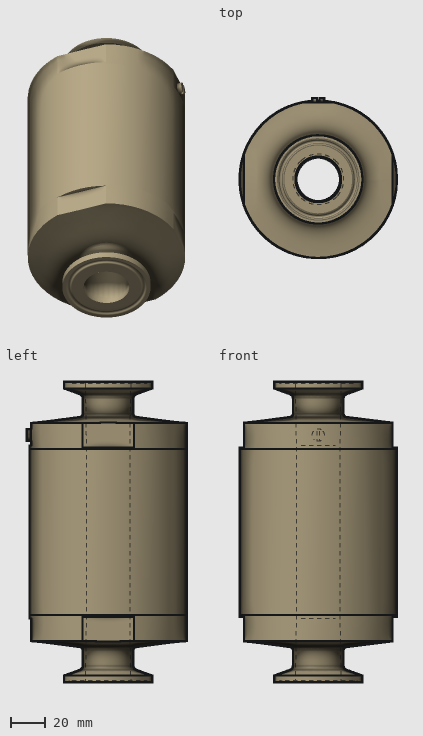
import cadquery as cq
import math

total_length = 171.9
body_diameter = 90.0
bore_diameter = 25.0
bore_mouth_diameter = 26.1
sleeve_length = 94.9

cap_rim_height = 15.0
cap_cone_slope = math.radians(7.2)
cap_shoulder_width = 3.8
neck_diameter = 29.0
neck_base_fillet = 1.5
flange_diameter = 50.5
flange_rim_thickness = 3.8
flange_slope = math.radians(20)
flange_fillet = 2.4

groove_diameter = 43.0
groove_bottom_radius = 1.0
groove_lip_radius = 1.0
groove_wall_angle = math.radians(60)

flats_across = 85.1
flat_ledge = 1.0
mounting_flat_y = 44.0
mounting_flat_ledge = 2.0

stud_diameter = 7.0
stud_tip_y = 46.5
stud_z = 55.5
slot_width = 1.4
slot_depth = 1.4

body_radius = body_diameter / 2
bore_radius = bore_diameter / 2
bore_mouth_radius = bore_mouth_diameter / 2
neck_radius = neck_diameter / 2
flange_radius = flange_diameter / 2
end_z = total_length / 2
seam_z = sleeve_length / 2
rim_top_z = seam_z + cap_rim_height
flange_edge_z = end_z - flange_rim_thickness
flange_root_z = flange_edge_z - (flange_radius - neck_radius) * math.tan(flange_slope)


def make_sleeve():
    return (
        cq.Workplane("XY")
        .workplane(offset=-seam_z)
        .circle(body_radius)
        .circle(bore_radius)
        .extrude(sleeve_length)
    )


def make_cap_blank():
    """Turned cap with tapered bore and neck fillets, before the groove and flats are cut."""
    shoulder_rise = cap_shoulder_width * math.tan(cap_cone_slope / 2)
    shoulder_end = (body_radius - cap_shoulder_width, rim_top_z + shoulder_rise)
    cone_rise = (shoulder_end[0] - neck_radius) * math.tan(cap_cone_slope)
    cone_end = (neck_radius, shoulder_end[1] + cone_rise)
    rim_tangent = (-1, 0)
    cone_tangent = (-math.cos(cap_cone_slope), math.sin(cap_cone_slope))
    blank = (
        cq.Workplane("XZ")
        .moveTo(bore_radius, seam_z)
        .lineTo(body_radius, seam_z)
        .lineTo(body_radius, rim_top_z)
        .spline([shoulder_end, cone_end], tangents=[rim_tangent, cone_tangent], includeCurrent=True)
        .lineTo(neck_radius, flange_root_z)
        .lineTo(flange_radius, flange_edge_z)
        .lineTo(flange_radius, end_z)
        .lineTo(bore_mouth_radius, end_z)
        .close()
        .revolve(360, (0, 0, 0), (0, 1, 0))
    )
    neck_corners = ((cone_end[1], neck_base_fillet), (flange_root_z, flange_fillet))
    neck_edge = cq.selectors.RadiusNthSelector(0)
    for corner_z, radius in neck_corners:
        margin = radius / 2
        band = cq.selectors.BoxSelector(
            (-body_radius, -body_radius, corner_z - margin),
            (body_radius, body_radius, corner_z + margin),
            boundingbox=True,
        )
        blank = blank.edges(band).edges(neck_edge).fillet(radius)
    return blank


def make_groove_cutter():
    """Ring with the groove's cross-section, symmetric about the groove circle."""
    center = groove_diameter / 2
    half_angle = groove_wall_angle / 2
    depth = (groove_bottom_radius + groove_lip_radius) * (1 - math.cos(groove_wall_angle))
    bottom_half = groove_bottom_radius * math.sin(groove_wall_angle)
    half_width = bottom_half + groove_lip_radius * math.sin(groove_wall_angle)
    blend_z = end_z - groove_lip_radius * (1 - math.cos(groove_wall_angle))
    lip_mid_offset = half_width - groove_lip_radius * math.sin(half_angle)
    lip_mid_z = end_z - groove_lip_radius * (1 - math.cos(half_angle))
    return (
        cq.Workplane("XZ")
        .moveTo(center - half_width, end_z)
        .threePointArc((center - lip_mid_offset, lip_mid_z), (center - bottom_half, blend_z))
        .threePointArc((center, end_z - depth), (center + bottom_half, blend_z))
        .threePointArc((center + lip_mid_offset, lip_mid_z), (center + half_width, end_z))
        .close()
        .revolve(360, (0, 0, 0), (0, 1, 0))
    )


def make_flat_cutter(distance, ledge):
    """Block removing everything beyond X = distance, from a ledge above the seam upwards."""
    return cq.Workplane("XY").box(
        body_radius, body_diameter, end_z, centered=(False, True, False)
    ).translate((distance, 0, seam_z + ledge))


def make_cap():
    """Upper cap."""
    cap = make_cap_blank().cut(make_groove_cutter())
    wrench_cutter = make_flat_cutter(flats_across / 2, flat_ledge)
    mounting_cutter = make_flat_cutter(mounting_flat_y, mounting_flat_ledge)
    for cutter, angle in ((wrench_cutter, 0), (wrench_cutter, 180), (mounting_cutter, 90)):
        cap = cap.cut(cutter.rotate((0, 0, 0), (0, 0, 1), angle))
    return cap


def make_stud():
    stud_height = stud_tip_y - mounting_flat_y
    stud = (
        cq.Workplane("XZ", origin=(0, mounting_flat_y, stud_z))
        .circle(stud_diameter / 2)
        .extrude(-stud_height)
    )
    slot = cq.Workplane("XY").box(
        slot_width, slot_depth, stud_diameter, centered=(True, False, True)
    ).translate((0, stud_tip_y - slot_depth, stud_z))
    return stud.cut(slot)


sleeve = make_sleeve()
upper_cap = make_cap()
caps = [upper_cap, upper_cap.mirror("XY")]
stud = make_stud()

result = cq.Compound.makeCompound([sleeve.val(), *[cap.val() for cap in caps], stud.val()])